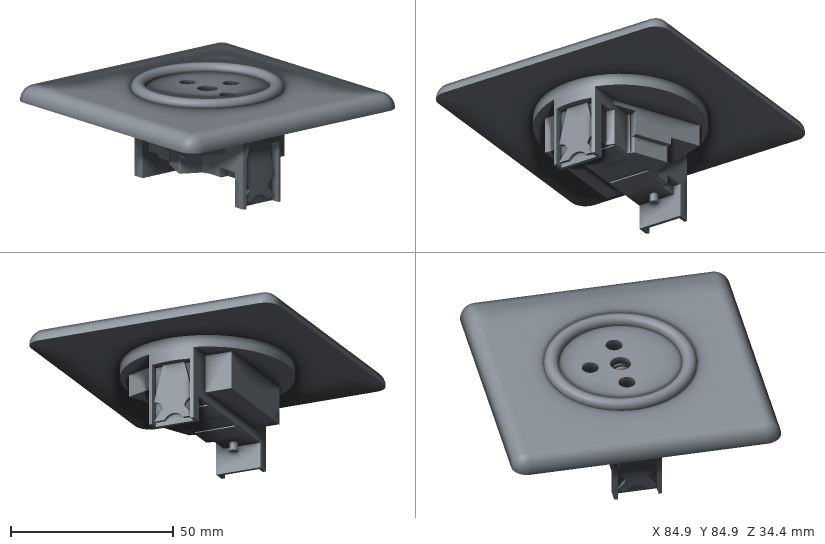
import cadquery as cq
import math

plate_side = 84.9
plate_thickness = 5.0
plate_bottom = -plate_thickness
ring_radius = 21.3
ring_round = 2.4

pin_hole_radius = 2.6
pin_hole_offset = 9.5
screw_radius = 3.2
screw_rim_z = -4.0
screw_slot_width = 1.0
screw_slot_depth = 1.5

disc_radius = 27.0
disc_bottom = -8.8
body_half_width = 7.55
body_bottom = -23.85
arm_inner_x = 22.1
arm_bottom = -32.0

channel_half_width = 6.45
channel_top = -12.6
channel_floor_x = 23.3
pad_height = 1.1
pad_top_half_width = 3.65
pad_shoulder_top = -23.4
pad_shoulder_bottom = -24.4
pad_flank_bulge = (4.7, -25.05)
pad_waist = (3.65, -26.8)
pad_tip_top = -30.3
pad_bottom = -30.65
pad_arch_half_width = 3.1
pad_arch_top = -28.9

housing_angle = 25.5
front_corner = (12.4, -20.9)
slab_bottom = -10.3
upper_tier_bottom = -16.0
middle_tier_bottom = -18.4
upper_right_x = 17.3
upper_left_x = -8.2
lower_left_x = -7.3
middle_corner_x = 3.2
lower_setback_y = 2.0
lower_edge_round = 0.7
core_half_width = 7.5
core_front_y = -8.4
core_flare_x = 9.9

back_half_width = 17.3
back_y = 16.4
back_bottom = -20.9

recess_depth = 2.55
recess_slant = 0.85
left_recess_inner_x = -14.8
left_recess_top = -12.8
left_notch_outer_x = -16.6
left_notch_top = -11.8
right_recess_inner_x = 14.8
right_recess_top = -20.9
lug_height = 0.3
lug_half_width = 6.8
lug_spans = [(-14.35, -5.3), (4.8, 14.6)]
terminal_radius = 1.4
terminal_offset = 18.85
terminal_bottom = -26.6


def prism(points, z_bottom, z_top):
    """Upright prism over a plan outline."""
    outline = cq.Workplane("XY").workplane(offset=z_bottom).polyline(points).close()
    return outline.extrude(z_top - z_bottom)


def block(x_min, x_max, y_min, y_max, z_bottom, z_top):
    size = (x_max - x_min, y_max - y_min, z_top - z_bottom)
    return cq.Workplane("XY").box(*size, centered=False).translate((x_min, y_min, z_bottom))


def cylinder(x, y, radius, z_bottom, z_top):
    base = cq.Workplane("XY").workplane(offset=z_bottom).center(x, y)
    return base.circle(radius).extrude(z_top - z_bottom)


def make_cover():
    half = plate_side / 2
    stock = block(-half, half, -half, half, -3 * plate_thickness, 0)
    stock = stock.edges("|Z or >Z").fillet(plate_thickness)
    plate = stock.intersect(block(-half, half, -half, half, plate_bottom, 0))

    ring = (
        cq.Workplane("XZ")
        .moveTo(ring_radius - ring_round, 0)
        .threePointArc((ring_radius, ring_round), (ring_radius + ring_round, 0))
        .close()
        .revolve(360, (0, 0, 0), (0, 1, 0))
    )
    cover = plate.union(ring)

    for x, y in [(-pin_hole_offset, 0), (pin_hole_offset, 0), (0, pin_hole_offset)]:
        cover = cover.cut(cylinder(x, y, pin_hole_radius, plate_bottom, 0))
    return cover.cut(cylinder(0, 0, screw_radius, plate_bottom, 0))


def make_screw_head():
    apex_z = screw_rim_z + screw_radius
    shank = cylinder(0, 0, screw_radius, disc_bottom, screw_rim_z)
    dome = cq.Workplane("XY").sphere(screw_radius).translate((0, 0, screw_rim_z))
    slot = block(
        -screw_slot_width / 2, screw_slot_width / 2,
        -screw_radius, screw_radius,
        apex_z - screw_slot_depth, apex_z,
    )
    upper_half = cylinder(0, 0, screw_radius, screw_rim_z, apex_z)
    return shank.union(dome.intersect(upper_half)).cut(slot)


def make_body_with_arms():
    """Band across the disc, with an arm reaching down at each end."""
    band = block(
        -disc_radius, disc_radius, -body_half_width, body_half_width, arm_bottom, disc_bottom
    )
    between_arms = block(
        -arm_inner_x, arm_inner_x, -body_half_width, body_half_width, arm_bottom, body_bottom
    )
    envelope = cylinder(0, 0, disc_radius, arm_bottom, disc_bottom)
    return band.intersect(envelope).cut(between_arms)


def make_channel():
    """Groove in the +X arm, open outward and downward."""
    return block(
        channel_floor_x, disc_radius, -channel_half_width, channel_half_width, arm_bottom, channel_top
    )


def make_claw_pad():
    """Claw-shaped pad on the channel floor of the +X arm."""
    bulge_y, bulge_z = pad_flank_bulge
    waist_y, waist_z = pad_waist
    return (
        cq.Workplane("YZ")
        .workplane(offset=channel_floor_x)
        .moveTo(-pad_top_half_width, channel_top)
        .lineTo(pad_top_half_width, channel_top)
        .lineTo(channel_half_width, pad_shoulder_top)
        .lineTo(channel_half_width, pad_shoulder_bottom)
        .threePointArc((bulge_y, bulge_z), (waist_y, waist_z))
        .lineTo(channel_half_width, pad_tip_top)
        .lineTo(channel_half_width, pad_bottom)
        .lineTo(pad_arch_half_width, pad_bottom)
        .threePointArc((0, pad_arch_top), (-pad_arch_half_width, pad_bottom))
        .lineTo(-channel_half_width, pad_bottom)
        .lineTo(-channel_half_width, pad_tip_top)
        .lineTo(-waist_y, waist_z)
        .threePointArc((-bulge_y, bulge_z), (-channel_half_width, pad_shoulder_bottom))
        .lineTo(-channel_half_width, pad_shoulder_top)
        .close()
        .extrude(pad_height)
    )


def front_face_point(x, setback=0.0):
    """Plan point on the angled front face of the terminal housing."""
    corner_x, corner_y = front_corner
    y = corner_y + (corner_x - x) * math.tan(math.radians(housing_angle)) + setback
    return (x, y)


def side_face_end(start):
    """Where the side face that is square to the front face meets the body."""
    x, y = start
    return (x + (-body_half_width - y) * math.tan(math.radians(housing_angle)), -body_half_width)


def step_back_point(corner, end, setback):
    """Where the set-back front face crosses the side face from corner to end."""
    side_slope = (end[1] - corner[1]) / (end[0] - corner[0])
    step_x = setback / (side_slope + math.tan(math.radians(housing_angle)))
    return (corner[0] + step_x, corner[1] + step_x * side_slope)


def make_terminal_housing():
    """Angled block that steps back as it goes down."""
    upper_right_end = (upper_right_x, -body_half_width)
    slab_reach = (-body_half_width - front_corner[1]) / math.tan(math.radians(housing_angle))
    slab_left = (front_corner[0] - slab_reach, -body_half_width)
    slab = prism([slab_left, front_corner, upper_right_end], slab_bottom, disc_bottom)

    upper_left = front_face_point(upper_left_x)
    upper_left_end = side_face_end(upper_left)
    upper = prism(
        [upper_left, front_corner, upper_right_end, upper_left_end], upper_tier_bottom, slab_bottom
    )

    middle_corner = front_face_point(middle_corner_x)
    core_right = (core_half_width, core_front_y)
    core_end = (core_half_width, -body_half_width)
    middle = prism(
        [upper_left, middle_corner, core_right, core_end, upper_left_end],
        middle_tier_bottom, upper_tier_bottom,
    )

    lower_left = front_face_point(lower_left_x, lower_setback_y)
    lower_right = step_back_point(middle_corner, core_right, lower_setback_y)
    lower = prism(
        [lower_left, lower_right, core_right, core_end, side_face_end(lower_left)],
        body_bottom, middle_tier_bottom,
    )
    lower_middle_z = (body_bottom + middle_tier_bottom) / 2
    for x, y in (lower_left, lower_right):
        corner_edge = cq.selectors.NearestToPointSelector((x, y, lower_middle_z))
        lower = lower.edges(corner_edge).fillet(lower_edge_round)

    core_outline = [
        (-core_half_width, -body_half_width),
        (-core_half_width, core_front_y),
        core_right,
        (core_flare_x, -body_half_width),
    ]
    core = prism(core_outline, body_bottom, slab_bottom)
    return slab.union(upper).union(middle).union(lower).union(core)


def make_recess(inner_x, z_top):
    """Recess in the -Y face, from an arm to a slanted wall at inner_x."""
    side = math.copysign(1, inner_x)
    floor_y = -body_half_width + recess_depth
    outline = [
        (side * arm_inner_x, -body_half_width),
        (inner_x, -body_half_width),
        (inner_x + side * recess_slant, floor_y),
        (side * arm_inner_x, floor_y),
    ]
    return prism(outline, body_bottom, z_top)


def make_mechanism():
    mechanism = cylinder(0, 0, disc_radius, disc_bottom, plate_bottom)
    mechanism = mechanism.union(make_screw_head())

    body = make_body_with_arms()
    body = body.cut(make_recess(left_recess_inner_x, left_recess_top))
    body = body.cut(make_recess(right_recess_inner_x, right_recess_top))
    left_notch = make_recess(left_recess_inner_x, left_notch_top).intersect(
        block(
            left_notch_outer_x, left_recess_inner_x, -body_half_width, body_half_width,
            body_bottom, left_notch_top,
        )
    )
    body = body.cut(left_notch)
    for turn in (0, 180):
        body = body.cut(make_channel().rotate((0, 0, 0), (0, 0, 1), turn))
        body = body.union(make_claw_pad().rotate((0, 0, 0), (0, 0, 1), turn))

    mechanism = mechanism.union(body).union(make_terminal_housing())
    mechanism = mechanism.union(
        block(-back_half_width, back_half_width, body_half_width, back_y, back_bottom, disc_bottom)
    )

    for x_min, x_max in lug_spans:
        mechanism = mechanism.union(
            block(x_min, x_max, -lug_half_width, lug_half_width, body_bottom - lug_height, body_bottom)
        )
    for x in (-terminal_offset, terminal_offset):
        mechanism = mechanism.union(cylinder(x, 0, terminal_radius, terminal_bottom, body_bottom))
    return mechanism


cover = make_cover().solids()
mechanism = make_mechanism().solids()

result = cq.Compound.makeCompound([cover.val(), mechanism.val()])